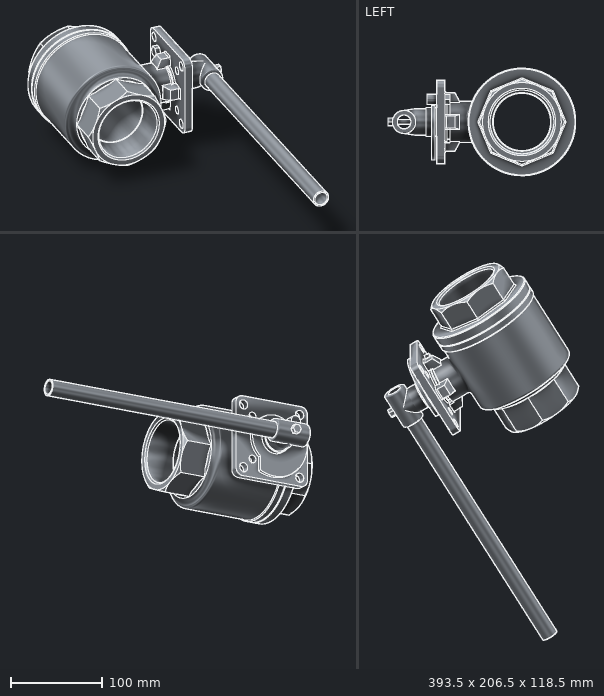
import cadquery as cq


overall_length = 393.5
overall_height = 206.5

body_half_length = 83.5
body_radius = 58.0
flange_radius = 118.5 / 2
flange_start = -56.0
flange_end = -36.0
flange_chamfer = 1.0
joint_x = -44.5
joint_groove_width = 1.0
joint_groove_depth = 0.6
body_end = 44.0
body_end_round = 3.0
shoulder_end = 49.0
shoulder_radius = 47.2
shoulder_hollow = 7.5
shoulder_foot = 50.8
shoulder_foot_radius = 44.0

octagon_radius = 47.0
octagon_chamfer = 3.5
octagon_flare = 1.5
octagon_flare_length = 2.0

bore_radius = 31.5
socket_radius = 35.0
socket_floor_radius = 32.3
socket_depth = 33.5
socket_chamfer = 2.0

neck_radius = 23.0
neck_top = 79.0
neck_fillet = 3.0
plate_bottom = 84.5
plate_thickness = 9.0
plate_top = plate_bottom + plate_thickness
plate_width = 92.0
plate_corner_radius = 8.3
outer_hole_offset = 36.2
outer_hole_radius = 5.0
inner_hole_offset = 24.8
inner_hole_radius = 4.5

lug_reach = 32.3
lug_outer_width = 13.0
lug_root_width = 16.5
lug_flare = 1.5
lug_knee = 73.5
lug_foot = 68.5

gland_radius = 19.3
gland_rim_radius = 22.0
gland_rim_bottom = 82.2
spacer_radius = 15.7
stop_plate_bottom = 95.2
stop_plate_thickness = 4.5
stop_plate_top = stop_plate_bottom + stop_plate_thickness
stop_disc_radius = 28.5
stop_lobe_radius = 42.0
stop_lobe_edge = 18.0
stop_pin_radius = 6.0
stop_pin_top = 104.3
stop_nut_bottom = 79.0
stop_nut_radius = 6.3

collar_radius = 16.0
collar_top = 105.5
hub_radius = 29.5 / 2
hub_top = 117.0
lever_axis = 129.5
socket_tube_radius = 25.5 / 2
socket_tube_half_length = 20.5
socket_tube_round = 1.0
rod_radius = 18.5 / 2
rod_end = overall_length - body_half_length
rod_bore_radius = 7.5
screw_shank_radius = 2.8
screw_head_radius = 5.0
screw_head_top = overall_height - flange_radius


def plane_at_height(height):
    """Workplane facing +Y; its local axes are X and -Z."""
    return cq.Workplane(cq.Plane(origin=(0, height, 0), xDir=(1, 0, 0), normal=(0, 1, 0)))


def cylinder_y(radius, bottom, top, x=0, z=0):
    """Cylinder along Y standing at (x, z)."""
    return plane_at_height(bottom).center(x, -z).circle(radius).extrude(top - bottom)


def hexagon_y(radius, bottom, top, x=0, z=0):
    """Hexagonal prism along Y with two corners pointing along X."""
    return plane_at_height(bottom).center(x, -z).polygon(6, 2 * radius).extrude(top - bottom)


def cylinder_x(radius, start, end, height=0):
    """Cylinder along X whose axis is at the given height in Y."""
    return cq.Workplane("YZ", origin=(start, height, 0)).circle(radius).extrude(end - start)


def octagon_x(start, end):
    """Octagonal prism along X with corners on the Y and Z axes."""
    return cq.Workplane("YZ", origin=(start, 0, 0)).polygon(8, 2 * octagon_radius).extrude(end - start)


def make_shell():
    """Turned outside of the body with its flange, joint groove and hollow shoulder."""
    groove_start = joint_x - joint_groove_width / 2
    groove_end = joint_x + joint_groove_width / 2
    shell = (
        cq.Workplane("XY")
        .moveTo(flange_start, 0)
        .lineTo(flange_start, flange_radius - flange_chamfer)
        .lineTo(flange_start + flange_chamfer, flange_radius)
        .lineTo(groove_start, flange_radius)
        .lineTo(joint_x, flange_radius - joint_groove_depth)
        .lineTo(groove_end, flange_radius)
        .lineTo(flange_end - flange_chamfer, flange_radius)
        .lineTo(flange_end, body_radius)
        .lineTo(body_end - body_end_round, body_radius)
        .radiusArc((body_end, body_radius - body_end_round), body_end_round)
        .radiusArc((shoulder_end, shoulder_radius), -shoulder_hollow)
        .lineTo(shoulder_foot, shoulder_foot_radius)
        .lineTo(shoulder_foot, 0)
        .close()
        .revolve(360, (0, 0, 0), (1, 0, 0))
    )
    return shell


def make_octagon_ends():
    """Wrench octagons at both ends, corners turned off at the end faces."""
    turned_bar = cylinder_x(octagon_radius, -body_half_length, body_half_length)
    turned_bar = turned_bar.faces("<X or >X").chamfer(octagon_chamfer)
    ends = octagon_x(-body_half_length, body_half_length).intersect(turned_bar)
    flare = (
        cq.Workplane("YZ", origin=(flange_start, 0, 0))
        .polygon(8, 2 * (octagon_radius + octagon_flare))
        .workplane(offset=-octagon_flare_length)
        .polygon(8, 2 * octagon_radius)
        .loft(ruled=True)
    )
    return ends.union(flare)


def cut_bore(body):
    """Straight bore with a chamfered, tapered socket at each end."""
    body = body.cut(cylinder_x(bore_radius, -body_half_length, body_half_length))
    for side in (-1, 1):
        end = side * body_half_length
        mouth_radius = socket_radius + socket_chamfer
        socket = (
            cq.Workplane("XY")
            .moveTo(end, 0)
            .lineTo(end, mouth_radius)
            .lineTo(end - side * socket_chamfer, socket_radius)
            .lineTo(end - side * socket_depth, socket_floor_radius)
            .lineTo(end - side * socket_depth, 0)
            .close()
            .revolve(360, (0, 0, 0), (1, 0, 0))
        )
        body = body.cut(socket)
    return body


def make_body():
    """Body with octagon ends, filleted neck and bore."""
    body = make_shell().union(cylinder_y(neck_radius, 0, neck_top))
    root_height = (body_radius ** 2 - neck_radius ** 2) ** 0.5
    root = cq.selectors.NearestToPointSelector((0, root_height, neck_radius))
    body = body.edges(root).fillet(neck_fillet)
    return cut_bore(body.union(make_octagon_ends()))


def make_plate():
    """Square mounting plate with two square patterns of holes."""
    plate = plane_at_height(plate_bottom).rect(plate_width, plate_width).extrude(plate_thickness)
    plate = plate.edges("|Y").fillet(plate_corner_radius)
    for offset, radius in (
        (outer_hole_offset, outer_hole_radius),
        (inner_hole_offset, inner_hole_radius),
    ):
        for x in (-offset, offset):
            for z in (-offset, offset):
                plate = plate.cut(cylinder_y(radius, plate_bottom, plate_top, x, z))
    return plate


def make_lug():
    """Lug on the +X side of the neck, narrowing outwards and sloped underneath."""
    root = gland_radius
    tip = lug_reach + lug_flare
    profile = (
        cq.Workplane("XY")
        .moveTo(root, lug_foot)
        .lineTo(neck_radius, lug_foot)
        .lineTo(lug_reach, lug_knee)
        .lineTo(lug_reach, plate_bottom - lug_flare)
        .lineTo(tip, plate_bottom)
        .lineTo(neck_radius, plate_bottom)
        .lineTo(neck_radius, neck_top)
        .lineTo(root, neck_top)
        .close()
        .extrude(lug_root_width / 2, both=True)
    )
    plan = (
        plane_at_height(lug_foot)
        .moveTo(root, -lug_root_width / 2)
        .lineTo(neck_radius, -lug_root_width / 2)
        .lineTo(lug_reach, -lug_outer_width / 2)
        .lineTo(tip, -lug_outer_width / 2)
        .lineTo(tip, lug_outer_width / 2)
        .lineTo(lug_reach, lug_outer_width / 2)
        .lineTo(neck_radius, lug_root_width / 2)
        .lineTo(root, lug_root_width / 2)
        .close()
        .extrude(plate_bottom - lug_foot)
    )
    return profile.intersect(plan)


def make_stop():
    """Stop plate with a quarter-turn lobe, and the pin and nut that limit it."""
    disc = cylinder_y(stop_disc_radius, stop_plate_bottom, stop_plate_top)
    lobe = cylinder_y(stop_lobe_radius, stop_plate_bottom, stop_plate_top)
    lobe_side = stop_lobe_edge + stop_lobe_radius
    lobe_middle = stop_lobe_edge - lobe_side / 2
    lobe_square = (
        plane_at_height(stop_plate_bottom)
        .center(lobe_middle, -lobe_middle)
        .rect(lobe_side, lobe_side)
        .extrude(stop_plate_thickness)
    )
    pin_x = -inner_hole_offset
    pin_z = inner_hole_offset
    pin = cylinder_y(stop_pin_radius, plate_top, stop_pin_top, pin_x, pin_z)
    shank = cylinder_y(inner_hole_radius, plate_bottom, plate_top, pin_x, pin_z)
    nut = hexagon_y(stop_nut_radius, stop_nut_bottom, plate_bottom, pin_x, pin_z)
    return disc.union(lobe.intersect(lobe_square)).union(pin).union(shank).union(nut)


def make_lever():
    """Lever hub on the stem, cross tube, hollow rod and clamping screw."""
    collar = cylinder_y(collar_radius, stop_plate_top, collar_top)
    hub = cylinder_y(hub_radius, collar_top, hub_top)
    hub_cone = (
        plane_at_height(hub_top)
        .circle(hub_radius)
        .workplane(offset=lever_axis - hub_top)
        .circle(socket_tube_radius)
        .loft()
    )
    tube = cylinder_x(
        socket_tube_radius, -socket_tube_half_length, socket_tube_half_length, lever_axis
    )
    tube = tube.faces("<X or >X").edges().fillet(socket_tube_round)
    rod = cylinder_x(rod_radius, 0, rod_end, lever_axis)
    rod_bore = cylinder_x(rod_bore_radius, -socket_tube_half_length, rod_end, lever_axis)
    lever = collar.union(hub).union(hub_cone).union(tube).union(rod).cut(rod_bore)

    tube_top = lever_axis + socket_tube_radius
    shank = cylinder_y(screw_shank_radius, lever_axis - rod_radius, tube_top)
    head_bottom = lever_axis + rod_radius
    head = hexagon_y(screw_head_radius, head_bottom, screw_head_top)
    return lever.union(shank).union(head)


result = make_body().union(make_plate())
for quarter in range(4):
    result = result.union(make_lug().rotate((0, 0, 0), (0, 1, 0), 90 * quarter))
result = result.union(cylinder_y(gland_radius, neck_top, plate_bottom))
result = result.union(cylinder_y(gland_rim_radius, gland_rim_bottom, plate_bottom))
result = result.union(cylinder_y(spacer_radius, plate_top, stop_plate_bottom))
result = result.union(make_stop()).union(make_lever())